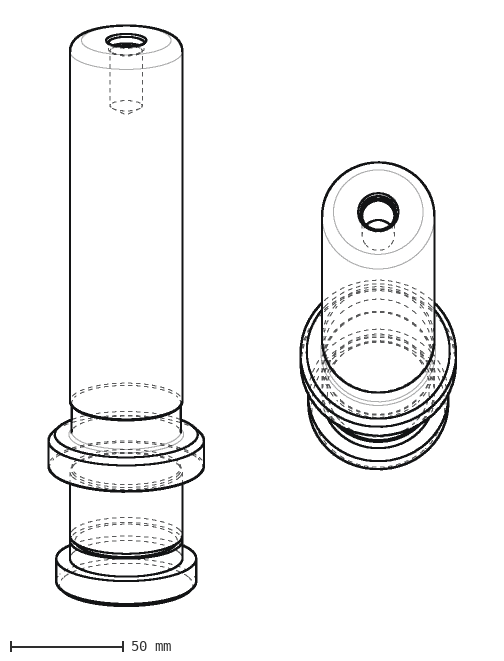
import cadquery as cq
import math

TOTAL_HEIGHT = 255.0

FLANGE_RADIUS = 31.0
FLANGE_HEIGHT = 12.2
FLANGE_CHAMFER = 1.5
BOSS_RADIUS = 25.0
FOOT_HEIGHT = 20.7

SHAFT_RADIUS = 25.0
TIP_FILLET = 5.0
END_CHAMFER = 2.3

NECK_RADIUS = 24.2
NECK_TOP = 85.2
NECK_SHOULDER_CHAMFER = 0.8
NECK_FILLET = 1.3

COLLAR_RADIUS = 69.0 / 2
COLLAR_BOTTOM = 55.0
COLLAR_TOP = 70.5
COLLAR_TOP_CHAMFER = 2.8
COLLAR_BOTTOM_CHAMFER = 0.5
UNDERCUT_HEIGHT = 1.3
UNDERCUT_RADIUS = 24.2
UNDERCUT_SHOULDER_CHAMFER = 0.8

MOUTH_RADIUS = 9.0
COUNTERBORE_RADIUS = 8.0
DRILL_RADIUS = 7.1
COUNTERBORE_DEPTH = 4.0
DRILL_DEPTH = 30.5
DRILL_POINT_ANGLE = 118.0


def cylinder(radius, bottom, top):
    return cq.Workplane("XY").workplane(offset=bottom).circle(radius).extrude(top - bottom)


def make_foot():
    flange = cylinder(FLANGE_RADIUS, 0, FLANGE_HEIGHT).faces("<Z").chamfer(FLANGE_CHAMFER)
    boss = cylinder(BOSS_RADIUS, FLANGE_HEIGHT, FOOT_HEIGHT)
    return flange.union(boss)


def make_tip_hole():
    """Solid of revolution to be removed from the top of the pillar."""
    mouth_depth = MOUTH_RADIUS - COUNTERBORE_RADIUS
    step_depth = COUNTERBORE_DEPTH + COUNTERBORE_RADIUS - DRILL_RADIUS
    point_depth = DRILL_DEPTH + DRILL_RADIUS / math.tan(math.radians(DRILL_POINT_ANGLE / 2))
    return (
        cq.Workplane("XZ")
        .moveTo(0, TOTAL_HEIGHT)
        .lineTo(MOUTH_RADIUS, TOTAL_HEIGHT)
        .lineTo(COUNTERBORE_RADIUS, TOTAL_HEIGHT - mouth_depth)
        .lineTo(COUNTERBORE_RADIUS, TOTAL_HEIGHT - COUNTERBORE_DEPTH)
        .lineTo(DRILL_RADIUS, TOTAL_HEIGHT - step_depth)
        .lineTo(DRILL_RADIUS, TOTAL_HEIGHT - DRILL_DEPTH)
        .lineTo(0, TOTAL_HEIGHT - point_depth)
        .close()
        .revolve(360, (0, 0, 0), (0, 1, 0))
    )


def make_pillar():
    lower_shaft = cylinder(SHAFT_RADIUS, FOOT_HEIGHT, COLLAR_BOTTOM - UNDERCUT_HEIGHT)
    lower_shaft = lower_shaft.faces("<Z").chamfer(END_CHAMFER)
    lower_shaft = lower_shaft.faces(">Z").chamfer(UNDERCUT_SHOULDER_CHAMFER)
    undercut = cylinder(UNDERCUT_RADIUS, COLLAR_BOTTOM - UNDERCUT_HEIGHT, COLLAR_BOTTOM)

    collar = cylinder(COLLAR_RADIUS, COLLAR_BOTTOM, COLLAR_TOP)
    collar = collar.faces(">Z").chamfer(COLLAR_TOP_CHAMFER)
    collar = collar.faces("<Z").chamfer(COLLAR_BOTTOM_CHAMFER)

    neck = cylinder(NECK_RADIUS, COLLAR_TOP, NECK_TOP)
    collar_and_neck = collar.union(neck)
    collar_top_face = collar_and_neck.faces("|Z").faces(">Z[-2]")
    neck_root = collar_top_face.edges(cq.selectors.RadiusNthSelector(0))
    collar_and_neck = neck_root.fillet(NECK_FILLET)

    upper_shaft = cylinder(SHAFT_RADIUS, NECK_TOP, TOTAL_HEIGHT)
    upper_shaft = upper_shaft.faces(">Z").edges().fillet(TIP_FILLET)
    upper_shaft = upper_shaft.faces("<Z").chamfer(NECK_SHOULDER_CHAMFER)

    pillar = lower_shaft.union(undercut).union(collar_and_neck).union(upper_shaft)
    return pillar.cut(make_tip_hole())


foot = make_foot()
pillar = make_pillar()

result = cq.Compound.makeCompound([foot.val(), pillar.val()])